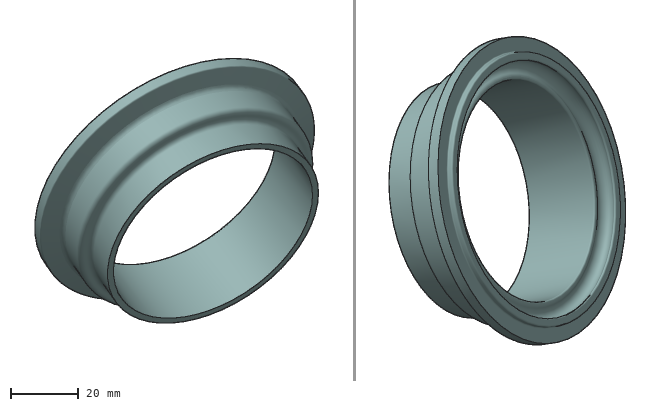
import cadquery as cq
import math

total_length = 28.0
flange_face = 1.8
flange_back = 5.5
body_end = 17.9

flange_radius = 91 / 2
lip_radius = 81.6 / 2
body_radius = 78.0 / 2
tube_radius = 70.0 / 2
bore_radius = 66.0 / 2

back_slope = math.radians(20)
flange_edge_round = 0.55
neck_round = 1.7
step_round = 1.6
lip_round = 0.5
lip_root_round = 0.4

groove_x = 2.2
groove_radius = 36.4
groove_round = 2.5

mouth_round = 0.5
rim_round = 1.5
rim_outer_radius = 33.8
rim_inner_radius = 33.5

MATCH_TOLERANCE = 0.01


def revolve_about_x(profile):
    """Turn a closed (x, radius) profile one full revolution about the X axis."""
    return profile.close().revolve(360, (0, 0, 0), (1, 0, 0))


def round_circle(solid, x, radius, size):
    """Fillet the circular edge of the given radius that lies at x."""
    edges = [
        edge
        for edge in solid.edges("%CIRCLE").vals()
        if abs(edge.radius() - radius) < MATCH_TOLERANCE
        and abs(edge.arcCenter().x - x) < MATCH_TOLERANCE
    ]
    return solid.newObject(edges).fillet(size)


def make_outside():
    """Solid of the outer outline: lip, flange with sloped back, body and tube."""
    slope_end = flange_back + (flange_radius - body_radius) * math.tan(back_slope)
    profile = (
        cq.Workplane("XY")
        .lineTo(0, lip_radius)
        .lineTo(flange_face, lip_radius)
        .lineTo(flange_face, flange_radius)
        .lineTo(flange_back, flange_radius)
        .lineTo(slope_end, body_radius)
        .lineTo(body_end, body_radius)
        .lineTo(body_end, tube_radius)
        .lineTo(total_length, tube_radius)
        .lineTo(total_length, 0)
    )
    solid = revolve_about_x(profile)
    for x, radius, size in (
        (0, lip_radius, lip_round),
        (flange_face, lip_radius, lip_root_round),
        (flange_back, flange_radius, flange_edge_round),
        (slope_end, body_radius, neck_round),
        (body_end, body_radius, step_round),
        (body_end, tube_radius, step_round),
    ):
        solid = round_circle(solid, x, radius, size)
    return solid


def make_inside():
    """Solid of the empty space: rounded mouth, undercut groove, rim and bore."""
    mouth_rise = math.sqrt((groove_round + mouth_round) ** 2 - (groove_x - mouth_round) ** 2)
    mouth_radius = groove_radius + mouth_rise
    mouth_share = groove_round / (groove_round + mouth_round)
    mouth_contact = (
        groove_x + (mouth_round - groove_x) * mouth_share,
        groove_radius + mouth_rise * mouth_share,
    )

    rim_drop = groove_radius - rim_outer_radius
    rim_reach = math.sqrt((groove_round + rim_round) ** 2 - rim_drop**2)
    rim_share = groove_round / (groove_round + rim_round)
    rim_contact = (
        groove_x + rim_reach * rim_share,
        groove_radius - rim_drop * rim_share,
    )
    rim_tip = groove_x + rim_reach - rim_round
    bore_round = rim_inner_radius - bore_radius

    profile = (
        cq.Workplane("XY")
        .lineTo(0, mouth_radius)
        .radiusArc(mouth_contact, -mouth_round)
        .threePointArc((groove_x + groove_round, groove_radius), rim_contact)
        .radiusArc((rim_tip, rim_outer_radius), -rim_round)
        .lineTo(rim_tip, rim_inner_radius)
        .radiusArc((rim_tip + bore_round, bore_radius), -bore_round)
        .lineTo(total_length, bore_radius)
        .lineTo(total_length, 0)
    )
    return revolve_about_x(profile)


result = make_outside().cut(make_inside())